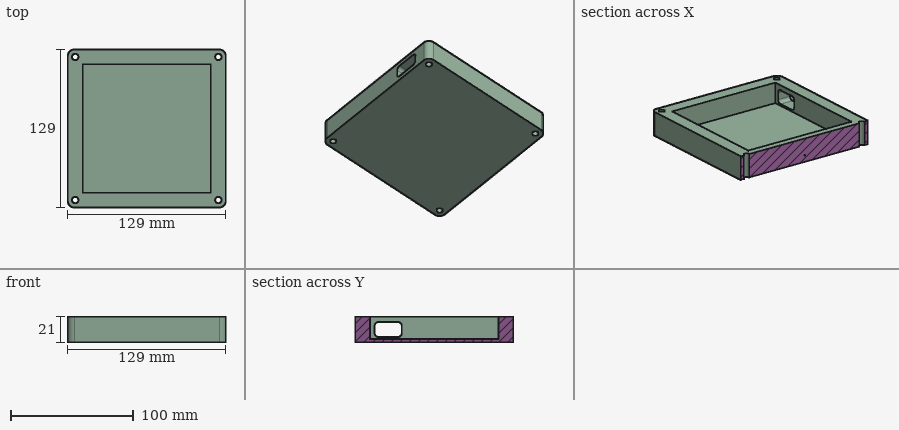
import cadquery as cq

side = 129.0
height = 21.0
corner_radius = 5.5

pocket_side = 104.5
pocket_depth = 18.0
floor_height = height - pocket_depth

hole_diameter = 5.0
hole_inset = 6.2
hole_spacing = side - 2 * hole_inset

passage_width = 21.9
passage_height = 12.0
passage_corner_radius = 3.0
passage_right_end = -26.6
passage_x = passage_right_end - passage_width / 2
passage_z = height / 2
wall = (side - pocket_side) / 2


def make_body():
    return cq.Workplane("XY").rect(side, side).extrude(height).edges("|Z").fillet(corner_radius)


def make_pocket():
    return cq.Workplane("XY", origin=(0, 0, floor_height)).rect(pocket_side, pocket_side).extrude(pocket_depth)


def make_screw_holes():
    centers = cq.Workplane("XY").rect(hole_spacing, hole_spacing, forConstruction=True).vertices()
    return centers.circle(hole_diameter / 2).extrude(height)


def make_passage():
    outer_face = cq.Workplane("XZ", origin=(passage_x, side / 2, passage_z))
    block = outer_face.rect(passage_width, passage_height).extrude(wall)
    return block.edges("|Y").fillet(passage_corner_radius)


result = make_body().cut(make_pocket()).cut(make_screw_holes()).cut(make_passage())